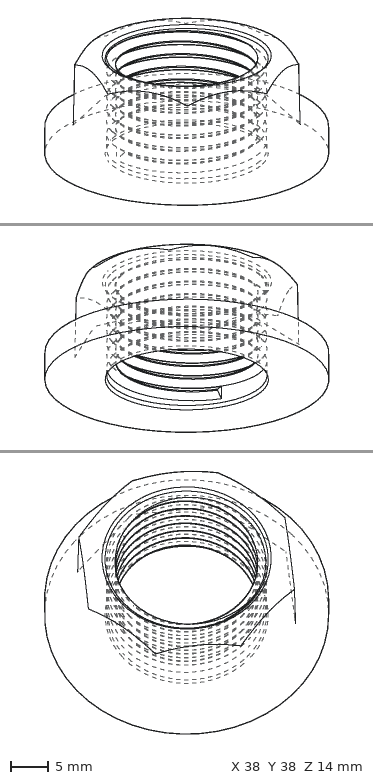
import math

import cadquery as cq

TOTAL_HEIGHT = 14.0

FLANGE_DIAMETER = 37.96
FLANGE_HEIGHT = 4.0
FLANGE_EDGE_RADIUS = 0.2

BODY_SIDES = 8
BODY_ACROSS_FLATS = 28.0
BODY_DRAFT = 1.0
BODY_CORNER_RADIUS = 0.2
BODY_BASE_RADIUS = 0.2
SELECTION_MARGIN = 0.1
CROWN_DIAMETER = 27.36
CROWN_EDGE_RADIUS = 0.2

THREAD_PITCH = 25.4 / 14
THREAD_MINOR_DIAMETER = 19.0
THREAD_MAJOR_DIAMETER = 21.4
THREAD_CREST_WIDTH = 0.16
THREAD_ROOT_WIDTH = 0.06
CREST_ANGLE_AT_TOP = 15.0
THREAD_TURNS = 7.4
RIDGE_SINK = 0.02

COUNTERSINK_FLOOR_DIAMETER = 21.79
COUNTERSINK_DEPTH = 0.4
BOTTOM_MOUTH_DIAMETER = 21.79
BOTTOM_MOUTH_DEPTH = 0.55


def make_flange():
    """Plain disc with a softened upper rim."""
    disc = cq.Workplane("XY").circle(FLANGE_DIAMETER / 2).extrude(FLANGE_HEIGHT)
    return disc.faces(">Z").edges().fillet(FLANGE_EDGE_RADIUS)


def make_body():
    """Drafted octagon whose top corners are turned off by a 45 degree cone."""
    height = TOTAL_HEIGHT - FLANGE_HEIGHT
    corner_diameter = BODY_ACROSS_FLATS / math.cos(math.pi / BODY_SIDES)
    octagon = (
        cq.Workplane("XY")
        .workplane(offset=FLANGE_HEIGHT)
        .transformed(rotate=(0, 0, 180 / BODY_SIDES))
        .polygon(BODY_SIDES, corner_diameter)
        .extrude(height, taper=BODY_DRAFT)
        .edges("not #Z")
        .fillet(BODY_CORNER_RADIUS)
    )
    crown_radius = CROWN_DIAMETER / 2
    cone = cq.Solid.makeCone(
        crown_radius + height, crown_radius, height, pnt=cq.Vector(0, 0, FLANGE_HEIGHT)
    )
    turned = octagon.intersect(cq.Workplane(obj=cone))
    return turned.faces(">Z").edges().fillet(CROWN_EDGE_RADIUS)


def add_base_fillet(blank):
    """Round the inside corner where the octagon stands on the flange."""
    reach = BODY_ACROSS_FLATS / 2 + SELECTION_MARGIN
    base_zone = cq.selectors.BoxSelector(
        (-reach, -reach, FLANGE_HEIGHT - SELECTION_MARGIN),
        (reach, reach, FLANGE_HEIGHT + SELECTION_MARGIN),
    )
    return blank.edges(base_zone).fillet(BODY_BASE_RADIUS)


def make_bore():
    """Through bore at the thread's major diameter."""
    return cq.Workplane("XY").circle(THREAD_MAJOR_DIAMETER / 2).extrude(TOTAL_HEIGHT)


def make_thread_ridge():
    """Right-hand helical ridge on the bore wall, cut flat at the countersink floor.

    Its base is sunk slightly into the wall so that ridge and wall join as one solid.
    """
    minor = THREAD_MINOR_DIAMETER / 2
    major = THREAD_MAJOR_DIAMETER / 2
    half_crest = THREAD_CREST_WIDTH / 2
    half_foot = (THREAD_PITCH - THREAD_ROOT_WIDTH) / 2
    flank_slope = (half_foot - half_crest) / (major - minor)
    base_radius = major + RIDGE_SINK
    half_base = half_foot + flank_slope * RIDGE_SINK

    profile = (
        cq.Workplane("XZ")
        .moveTo(minor, -half_crest)
        .lineTo(base_radius, -half_base)
        .lineTo(base_radius, half_base)
        .lineTo(minor, half_crest)
        .close()
    )
    helix = cq.Wire.makeHelix(THREAD_PITCH, THREAD_TURNS * THREAD_PITCH, minor)
    ridge = profile.sweep(cq.Workplane(obj=helix), isFrenet=True)

    floor_level = TOTAL_HEIGHT - COUNTERSINK_DEPTH
    turns_below_floor = THREAD_TURNS - 1
    start_level = floor_level - turns_below_floor * THREAD_PITCH
    start_angle = CREST_ANGLE_AT_TOP - 360 * turns_below_floor
    ridge = ridge.rotate((0, 0, 0), (0, 0, 1), start_angle).translate((0, 0, start_level))
    return ridge.intersect(cq.Workplane("XY").circle(FLANGE_DIAMETER / 2).extrude(floor_level))


def make_countersink():
    """Shallow 45 degree countersink with a flat floor."""
    floor_radius = COUNTERSINK_FLOOR_DIAMETER / 2
    cone = cq.Solid.makeCone(
        floor_radius,
        floor_radius + COUNTERSINK_DEPTH,
        COUNTERSINK_DEPTH,
        pnt=cq.Vector(0, 0, TOTAL_HEIGHT - COUNTERSINK_DEPTH),
    )
    return cq.Workplane(obj=cone)


def make_bottom_mouth():
    """Slight flare where the bore opens through the underside."""
    mouth = cq.Solid.makeCone(
        BOTTOM_MOUTH_DIAMETER / 2, THREAD_MAJOR_DIAMETER / 2, BOTTOM_MOUTH_DEPTH
    )
    return cq.Workplane(obj=mouth)


blank = add_base_fillet(make_flange().union(make_body()))
bored = blank.cut(make_bore()).cut(make_countersink()).cut(make_bottom_mouth())
result = bored.union(make_thread_ridge())